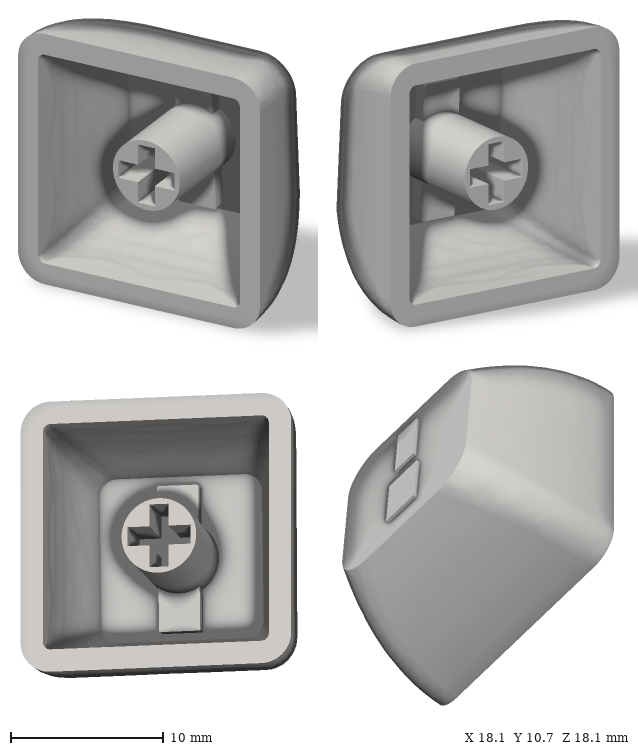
import cadquery as cq

rim_size = 18.1
rim_corner = 2.0
top_size = 12.67
top_corner = 2.68
top_height = 10.12
top_tilt = 4.0
wall = 1.5

cavity_rim_size = rim_size - 2 * wall
cavity_rim_corner = rim_corner - wall
ceiling_size = 10.86
ceiling_corner = 1.18
ceiling_height = top_height - wall

stem_diameter = 5.0
stem_recess = 1.0
cross_length = 4.2
cross_width = 1.27
cross_depth = 4.0

legend_drop = 0.1
bar_width = 2.75
bar_length = 9.67
bar_thickness = 1.0
bar_corner = 0.1
pad_length = 4.0
pad_spacing = 5.29
upper_pad_width = 1.92
lower_pad_width = 2.82
pad_rise = 0.29

section_steps = (0, 0.5, 1)


def tilted_plane(height, tilt):
    """Plane facing +Y at the given height, leaning toward +Z; local x is X, local y points to -Z."""
    plane = cq.Plane(origin=(0, height, 0), xDir=(1, 0, 0), normal=(0, 1, 0))
    return plane.rotated((tilt, 0, 0))


def domed_block(base_size, base_corner, end_size, end_corner, height):
    """Rounded square that shrinks along a parabola while it tilts, from the rim to the top."""
    sections = []
    for step in section_steps:
        size = base_size + (end_size - base_size) * step**2
        corner = base_corner + (end_corner - base_corner) * step**2
        outline = cq.Sketch().rect(size, size).vertices().fillet(corner)
        sections.append(outline.moved(tilted_plane(height * step, top_tilt * step).location))
    return cq.Workplane().placeSketch(*sections).loft()


def make_stem():
    """Round stem with a cross-shaped socket in its face."""
    face_plane = cq.Workplane(tilted_plane(stem_recess, 0))
    stem = face_plane.circle(stem_diameter / 2).extrude(ceiling_height + wall / 2 - stem_recess)
    for width, length in ((cross_width, cross_length), (cross_length, cross_width)):
        stem = stem.cut(face_plane.rect(width, length).extrude(cross_depth))
    return stem


def make_legend():
    """Bar under the ceiling with one pad above the other, both reaching out through the top."""
    ceiling = cq.Workplane(tilted_plane(ceiling_height, top_tilt)).center(0, legend_drop)
    bar_outline = cq.Sketch().rect(bar_width, bar_length).vertices().fillet(bar_corner)
    legend = ceiling.placeSketch(bar_outline).extrude(-bar_thickness)
    for width, offset in ((upper_pad_width, -pad_spacing / 2), (lower_pad_width, pad_spacing / 2)):
        pad = ceiling.center(0, offset).rect(width, pad_length).extrude(wall + pad_rise)
        legend = legend.union(pad)
    return legend


def make_cap(legend):
    """Hollow shell with its stem, cut to fit the legend insert."""
    shell = domed_block(rim_size, rim_corner, top_size, top_corner, top_height)
    cavity = domed_block(
        cavity_rim_size, cavity_rim_corner, ceiling_size, ceiling_corner, ceiling_height
    )
    return shell.cut(cavity).union(make_stem()).cut(legend)


legend = make_legend()
cap = make_cap(legend)
result = cq.Compound.makeCompound([cap.val(), legend.val()])